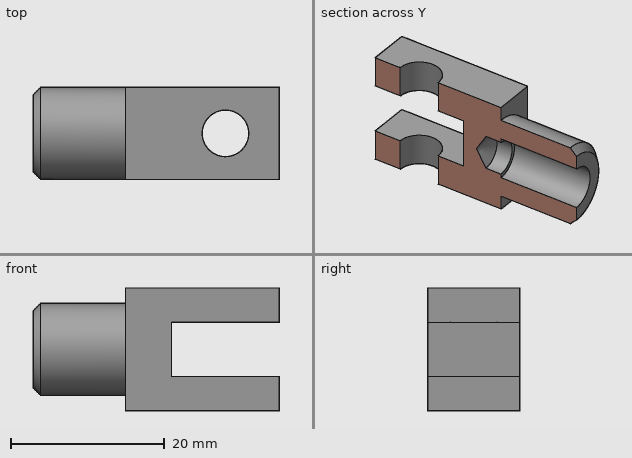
import cadquery as cq
import math

length = 32.0
width = 12.0
height = 16.0

shank_length = 12.0
shank_diameter = width
shank_chamfer = 1.0

slot_start = 18.0
slot_height = 7.0
pin_diameter = 6.0
pin_center_x = 25.0

bore_diameter = 6.0
bore_depth = shank_length
drill_diameter = 4.93
drill_depth = 14.4
drill_point_angle = 118.0


def make_shank():
    """Cylinder along X with a chamfered free end."""
    shank = cq.Workplane("YZ").circle(shank_diameter / 2).extrude(shank_length)
    return shank.faces("<X").chamfer(shank_chamfer)


def make_fork():
    """Rectangular block with a central slot and a vertical pin hole through both arms."""
    block = cq.Workplane("XY").box(length - shank_length, width, height, centered=(False, True, True))
    block = block.translate((shank_length, 0, 0))

    slot = cq.Workplane("XY").box(length - slot_start, width, slot_height, centered=(False, True, True))
    slot = slot.translate((slot_start, 0, 0))

    pin_hole = cq.Workplane("XY").center(pin_center_x, 0).circle(pin_diameter / 2)
    pin_hole = pin_hole.extrude(height / 2, both=True)
    return block.cut(slot).cut(pin_hole)


def make_bore():
    """Solid to cut away: half profile of the stepped bore revolved about the shank axis."""
    bore_radius = bore_diameter / 2
    drill_radius = drill_diameter / 2
    point_length = drill_radius / math.tan(math.radians(drill_point_angle / 2))
    profile = (
        cq.Workplane("XY")
        .lineTo(0, bore_radius)
        .lineTo(bore_depth, bore_radius)
        .lineTo(bore_depth, drill_radius)
        .lineTo(drill_depth, drill_radius)
        .lineTo(drill_depth + point_length, 0)
        .close()
    )
    return profile.revolve(360, (0, 0, 0), (1, 0, 0))


result = make_shank().union(make_fork()).cut(make_bore())